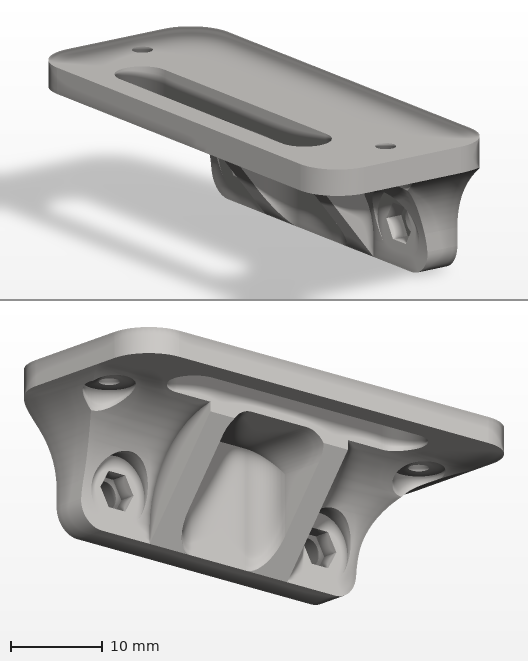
import cadquery as cq
import math

plate_length = 55.0
plate_width = 23.0
plate_thickness = 3.0
plate_corner_radius = 5.0

slot_length = 36.0
slot_width = 6.0
slot_center_y = 6.0

plate_hole_x = 22.5
plate_hole_y = plate_width / 2
plate_hole_diameter = 2.3
plate_clearance_diameter = 5.8

total_height = 17.0
wall_length = 40.0
wall_thickness = 4.0
wall_corner_radius = 3.0
wall_front_y = plate_width - wall_thickness
front_blend_radius = 12.0
side_blend_radius = 9.0

gusset_length = 20.0
gusset_front_y = 8.0
pocket_length = 14.0
pocket_corner_radius = 3.0

wall_hole_x = 14.75
wall_hole_z = -12.0
wall_hole_diameter = 3.2
wall_clearance_diameter = 8.0
nut_across_corners = 4.8
nut_depth = 2.0
nut_sides = 6

underside_z = -plate_thickness
bottom_z = -total_height


def plate_outline(height):
    """Rounded plate outline, extruded down from the top face."""
    return (
        cq.Workplane("XY")
        .center(0, plate_width / 2)
        .rect(plate_length, plate_width)
        .extrude(-height)
        .edges("|Z")
        .fillet(plate_corner_radius)
    )


def wall_front_profile():
    """Wall seen along Y: rounded lower corners, sides flared out to the plate ends."""
    half_length = wall_length / 2
    corner_x = half_length - wall_corner_radius
    corner_z = bottom_z + wall_corner_radius
    flare_x = half_length + side_blend_radius
    flare_end_x = plate_length / 2
    flare_z = underside_z - math.sqrt(side_blend_radius**2 - (flare_x - flare_end_x) ** 2)
    diagonal = math.sqrt(0.5)
    flare_mid = side_blend_radius * diagonal
    corner_mid = wall_corner_radius * diagonal
    return (
        cq.Workplane("XZ")
        .moveTo(-corner_x, bottom_z)
        .lineTo(corner_x, bottom_z)
        .threePointArc((corner_x + corner_mid, corner_z - corner_mid), (half_length, corner_z))
        .lineTo(half_length, flare_z)
        .threePointArc((flare_x - flare_mid, flare_z + flare_mid), (flare_end_x, underside_z))
        .lineTo(-flare_end_x, underside_z)
        .threePointArc((-flare_x + flare_mid, flare_z + flare_mid), (-half_length, flare_z))
        .lineTo(-half_length, corner_z)
        .threePointArc((-corner_x - corner_mid, corner_z - corner_mid), (-corner_x, bottom_z))
        .close()
        .extrude(-plate_width)
    )


def wall_side_profile():
    """Wall seen along X: concave blend from the wall front up to the plate."""
    blend_y = wall_front_y - front_blend_radius
    blend_z = underside_z - front_blend_radius
    blend_mid = front_blend_radius * math.sqrt(0.5)
    return (
        cq.Workplane("YZ")
        .moveTo(plate_width, underside_z)
        .lineTo(plate_width, bottom_z)
        .lineTo(wall_front_y, bottom_z)
        .lineTo(wall_front_y, blend_z)
        .threePointArc((blend_y + blend_mid, blend_z + blend_mid), (blend_y, underside_z))
        .close()
        .extrude(plate_length / 2, both=True)
    )


def gusset():
    """Triangular block bracing the wall against the plate."""
    return (
        cq.Workplane("YZ")
        .moveTo(wall_front_y, underside_z)
        .lineTo(wall_front_y, bottom_z)
        .lineTo(gusset_front_y, underside_z)
        .close()
        .extrude(gusset_length / 2, both=True)
    )


def gusset_pocket():
    """Pocket back to the wall front, rounded at the rear corners and along the ceiling sides."""
    pocket = cq.Workplane("XY").box(
        pocket_length, wall_front_y, total_height - plate_thickness, centered=(True, False, False)
    )
    pocket = pocket.translate((0, 0, bottom_z))
    rear_rounded = pocket.edges("|Z and >Y").fillet(pocket_corner_radius)
    ceiling_rounded = pocket.edges("|Y and >Z").fillet(pocket_corner_radius)
    return rear_rounded.intersect(ceiling_rounded)


def plate_slot():
    """Slot through the plate, also trimming whatever lies below it."""
    return (
        cq.Workplane("XY")
        .center(0, slot_center_y)
        .slot2D(slot_length, slot_width)
        .extrude(-total_height)
    )


def plate_hole(x):
    """Screw hole through the plate plus head clearance through the blends below."""
    at_hole = cq.Workplane("XY").center(x, plate_hole_y)
    hole = at_hole.circle(plate_hole_diameter / 2).extrude(-total_height)
    clearance = (
        at_hole.workplane(offset=underside_z)
        .circle(plate_clearance_diameter / 2)
        .extrude(bottom_z - underside_z)
    )
    return hole.union(clearance)


def wall_hole(x):
    """Hole through the wall, its nut recess, and a spotface flush with the wall front."""
    at_front = cq.Workplane("XZ", origin=(x, wall_front_y, wall_hole_z))
    hole = at_front.circle(wall_hole_diameter / 2).extrude(-wall_thickness)
    nut = at_front.polygon(nut_sides, nut_across_corners).extrude(-nut_depth)
    spotface = at_front.circle(wall_clearance_diameter / 2).extrude(wall_front_y)
    return hole.union(nut).union(spotface)


wall = wall_front_profile().intersect(wall_side_profile()).intersect(plate_outline(total_height))
bracket = wall.union(gusset()).cut(gusset_pocket())
result = plate_outline(plate_thickness).union(bracket).cut(plate_slot())

for side in (-1, 1):
    result = result.cut(plate_hole(side * plate_hole_x))
    result = result.cut(wall_hole(side * wall_hole_x))